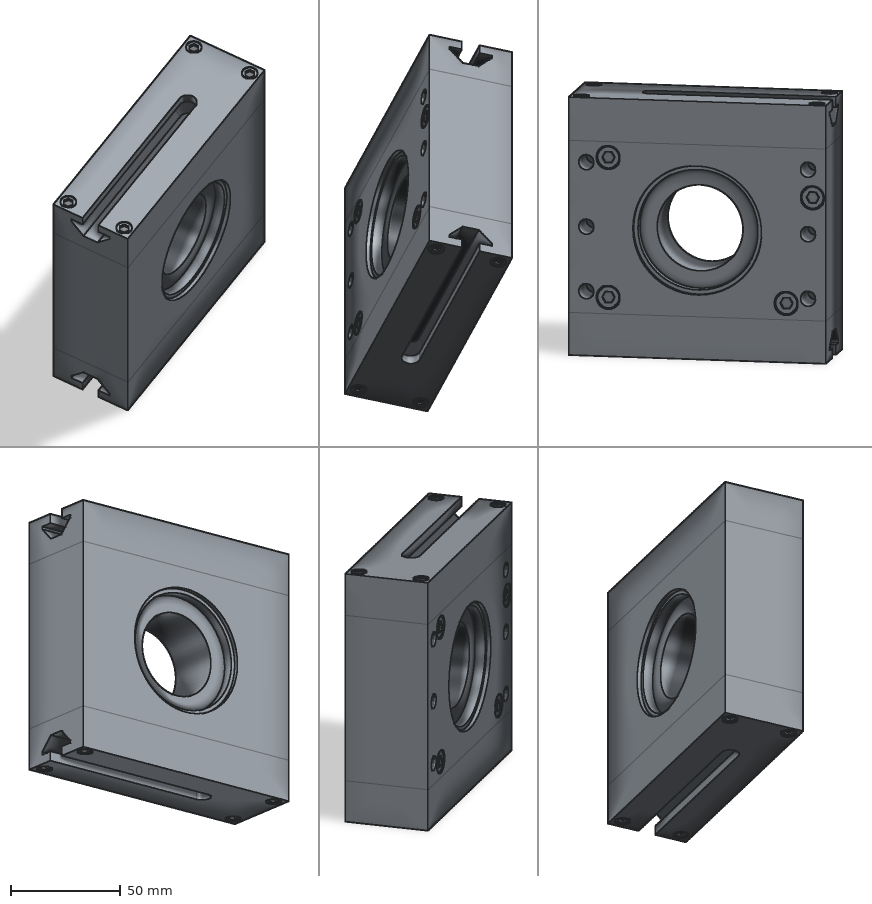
import cadquery as cq
import math

thickness = 40.0
width = 120.0
height = 120.0
middle_height = 80.0
outer_height = (height - middle_height) / 2
front_face = -thickness / 2

bore_diameter = 40.0
rim_diameter = 60.0
rim_depth = 2.0
seat_diameter = 56.0
seat_depth = 7.0

blind_diameter = 7.0
blind_depth = 18.0
blind_y = 51.7
blind_pitch_z = 30.0

face_screw_places = [(41.5, 32.5), (41.5, -32.5), (-41.5, -32.5), (-53.8, 17.0)]
face_pocket_diameter = 11.0
face_head_diameter = 10.0
face_pocket_depth = 6.0
face_head_gap = 0.5
face_socket_flats = 5.0
face_socket_depth = 1.0

plate_screw_x = 15.0
plate_screw_y = 55.0
plate_pocket_diameter = 7.2
plate_head_gap = 0.6
plate_socket_flats = 4.2
plate_socket_depth = 1.2

neck_width = 8.5
neck_depth = 4.5
undercut_width = 20.5
undercut_edge = 1.3
slot_floor_width = 7.7
slot_depth = neck_depth + undercut_edge + (undercut_width - slot_floor_width) / 2
slot_end_y = 25.0


def plate(plate_height, center_z):
    return cq.Workplane("XY").box(thickness, width, plate_height).translate((0, 0, center_z))


def block():
    """Three stacked plates; the joints between them stay as edges on the sides."""
    outer_center_z = (middle_height + outer_height) / 2
    body = plate(middle_height, 0)
    for side in (1, -1):
        body = body.union(plate(outer_height, side * outer_center_z), clean=False)
    return body


def cylinder_x(diameter, depth, y=0, z=0):
    """Cylinder running from the -X face inward."""
    plane = cq.Plane(origin=(front_face, y, z), xDir=(0, 1, 0), normal=(1, 0, 0))
    return cq.Workplane(plane).circle(diameter / 2).extrude(depth)


def stepped_bore():
    bore = cylinder_x(bore_diameter, thickness)
    seat = cylinder_x(seat_diameter, seat_depth)
    rim = cylinder_x(rim_diameter, rim_depth)
    steps = seat.union(rim)
    return bore.union(steps).union(steps.mirror("YZ"))


def disc(diameter, top, bottom):
    """Upright cylinder between two heights."""
    return cq.Workplane("XY").workplane(offset=bottom).circle(diameter / 2).extrude(top - bottom)


def sunk_socket(flats, depth, head_gap):
    """Hexagon socket below a screw head that sits head_gap under z = 0."""
    corners = flats / math.cos(math.pi / 6)
    return cq.Workplane("XY").workplane(offset=-head_gap).polygon(6, corners).extrude(-depth)


def face_screw_recess(y, z):
    pocket = disc(face_pocket_diameter, 0, -face_pocket_depth)
    head = disc(face_head_diameter, -face_head_gap, -face_pocket_depth)
    socket = sunk_socket(face_socket_flats, face_socket_depth, face_head_gap)
    recess = pocket.cut(head).union(socket)
    recess = recess.rotate((0, 0, 0), (0, 0, 1), 90).rotate((0, 0, 0), (0, 1, 0), -90)
    return recess.translate((front_face, y, z))


def plate_screw_recess(x, y):
    pocket = disc(plate_pocket_diameter, 0, -plate_head_gap)
    socket = sunk_socket(plate_socket_flats, plate_socket_depth, plate_head_gap)
    return pocket.union(socket).translate((x, y, height / 2))


def dovetail_slot():
    """Half section of the slot run along Y and revolved to close its inner end."""
    neck_bottom = -neck_depth
    undercut_bottom = neck_bottom - undercut_edge
    half_section = [
        (0, 0),
        (neck_width / 2, 0),
        (neck_width / 2, neck_bottom),
        (undercut_width / 2, neck_bottom),
        (undercut_width / 2, undercut_bottom),
        (slot_floor_width / 2, -slot_depth),
        (0, -slot_depth),
    ]
    full_section = half_section + [(-x, z) for x, z in reversed(half_section[1:-1])]
    run = cq.Workplane("XZ").polyline(full_section).close().extrude(slot_end_y + width / 2)
    end = cq.Workplane("XZ").polyline(half_section).close().revolve(360, (0, 0), (0, 1))
    return run.union(end).translate((0, slot_end_y, height / 2))


def cut(body, cutter):
    """Cut without merging faces, so the plate joints remain."""
    return body.cut(cutter, clean=False)


result = cut(block(), stepped_bore())

for y in (-blind_y, blind_y):
    for z in (-blind_pitch_z, 0, blind_pitch_z):
        result = cut(result, cylinder_x(blind_diameter, blind_depth, y, z))

for y, z in face_screw_places:
    result = cut(result, face_screw_recess(y, z))

top_cutters = [dovetail_slot()]
for x in (-plate_screw_x, plate_screw_x):
    for y in (-plate_screw_y, plate_screw_y):
        top_cutters.append(plate_screw_recess(x, y))

for cutter in top_cutters:
    result = cut(result, cutter)
    result = cut(result, cutter.mirror("XY"))